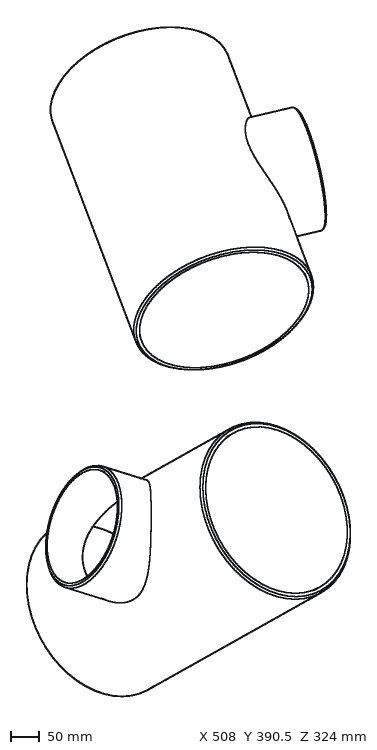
import cadquery as cq

run_length = 508.0
run_diameter = 324.0
run_wall = 9.5

branch_diameter = 219.0
branch_wall = 8.0
branch_reach = 228.5

bevel_size = 3.5


def run_pipe_blank():
    """Solid run cylinder with both ends beveled."""
    cylinder = cq.Workplane("YZ").circle(run_diameter / 2).extrude(run_length / 2, both=True)
    return cylinder.faces("<X or >X").chamfer(bevel_size)


def branch_blank():
    """Solid branch cylinder from the run axis to its beveled end."""
    cylinder = cq.Workplane("XZ").circle(branch_diameter / 2).extrude(-branch_reach)
    return cylinder.faces(">Y").chamfer(bevel_size)


def run_bore():
    return cq.Workplane("YZ").circle(run_diameter / 2 - run_wall).extrude(run_length / 2, both=True)


def branch_bore():
    return cq.Workplane("XZ").circle(branch_diameter / 2 - branch_wall).extrude(-branch_reach)


result = run_pipe_blank().union(branch_blank()).cut(run_bore()).cut(branch_bore())